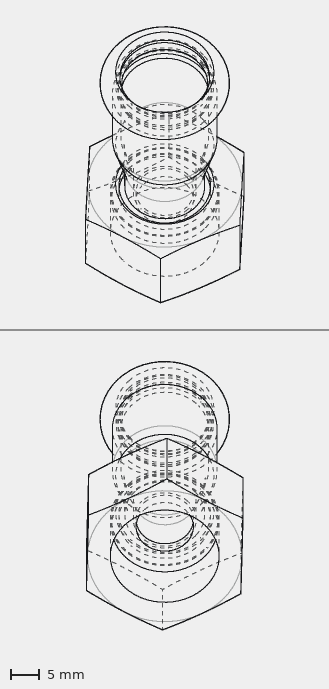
import cadquery as cq
import math

total_height = 48.4

nut_width = 27.0
nut_height = 14.5
nut_corner_drop = 0.6
nut_corner_diameter = nut_width / math.cos(math.radians(30))
nut_neck_radius = 16.0 / 2
nut_neck_mouth_radius = 17.2 / 2
nut_neck_chamfer = 0.5
nut_thread_radius = 19.0 / 2
nut_shoulder_height = 12.1

bead_bottom = 41.95
bead_middle = (total_height + bead_bottom) / 2
bead_radius = 22.65 / 2
mouth_radius = 17.2 / 2
socket_radius = 18.3 / 2
socket_bottom = 28.35
shoulder_radius = 17.2 / 2
shoulder_bottom = 26.45
shoulder_bulge = 0.15
cone_top_radius = 16.75 / 2
cone_top = 24.95
cone_bottom = 19.1
stem_radius = 14.0 / 2
stem_bottom = 13.9
collar_radius = 18.6 / 2
collar_height = 2.4
collar_bottom = nut_shoulder_height - collar_height

lip_radius = 15.7 / 2
lip_top = 47.0
lip_bottom = 46.25
seal_root_radius = 17.05 / 2
seal_inner_radius = 15.0 / 2
seal_bottom = 43.75
seal_middle = (lip_bottom + seal_bottom) / 2
lead_in_radius = 16.3 / 2
lead_in_top = 42.5
lead_in_bottom = 41.8
bore_radius = 15.3 / 2
stop_bottom = shoulder_bottom
inner_cone_radius = 14.2 / 2
stem_bore_radius = 11.0 / 2
outlet_radius = 10.0 / 2
outlet_top = nut_shoulder_height


def make_nut():
    """Hexagon with chamfered corners, a stepped bore and a chamfered neck."""
    hexagon = cq.Workplane("XY").polygon(6, nut_corner_diameter).extrude(nut_height)
    flat_radius = nut_width / 2
    corner_radius = nut_corner_diameter / 2
    turned_blank = (
        cq.Workplane("XZ")
        .moveTo(nut_thread_radius, 0)
        .lineTo(flat_radius, 0)
        .lineTo(corner_radius, nut_corner_drop)
        .lineTo(corner_radius, nut_height - nut_corner_drop)
        .lineTo(flat_radius, nut_height)
        .lineTo(nut_neck_mouth_radius, nut_height)
        .lineTo(nut_neck_radius, nut_height - nut_neck_chamfer)
        .lineTo(nut_neck_radius, nut_shoulder_height)
        .lineTo(nut_thread_radius, nut_shoulder_height)
        .close()
        .revolve(360, (0, 0, 0), (0, 1, 0))
    )
    return hexagon.intersect(turned_blank)


def make_tube():
    """Press socket, reducing cone and collared stem, revolved as one wall."""
    shoulder_middle = (
        (socket_radius + shoulder_radius) / 2 + shoulder_bulge,
        (socket_bottom + shoulder_bottom) / 2,
    )
    outside = (
        cq.Workplane("XZ")
        .moveTo(mouth_radius, total_height)
        .threePointArc((bead_radius, bead_middle), (socket_radius, bead_bottom))
        .lineTo(socket_radius, socket_bottom)
        .threePointArc(shoulder_middle, (shoulder_radius, shoulder_bottom))
        .lineTo(cone_top_radius, cone_top)
        .lineTo(stem_radius, cone_bottom)
        .lineTo(stem_radius, stem_bottom)
        .lineTo(nut_neck_radius, nut_shoulder_height)
        .lineTo(collar_radius, nut_shoulder_height)
        .lineTo(collar_radius, collar_bottom)
    )
    wall = (
        outside
        .lineTo(outlet_radius, collar_bottom)
        .lineTo(outlet_radius, outlet_top)
        .lineTo(stem_bore_radius, outlet_top)
        .lineTo(stem_bore_radius, cone_bottom)
        .lineTo(inner_cone_radius, cone_top)
        .lineTo(inner_cone_radius, stop_bottom)
        .lineTo(bore_radius, socket_bottom)
        .lineTo(bore_radius, lead_in_bottom)
        .lineTo(lead_in_radius, lead_in_top)
        .lineTo(lead_in_radius, seal_bottom)
        .lineTo(seal_root_radius, seal_bottom)
        .threePointArc((seal_inner_radius, seal_middle), (seal_root_radius, lip_bottom))
        .lineTo(lip_radius, lip_bottom)
        .lineTo(lip_radius, lip_top)
        .close()
    )
    return wall.revolve(360, (0, 0, 0), (0, 1, 0))


nut = make_nut()
tube = make_tube()

result = cq.Compound.makeCompound([nut.val(), tube.val()])